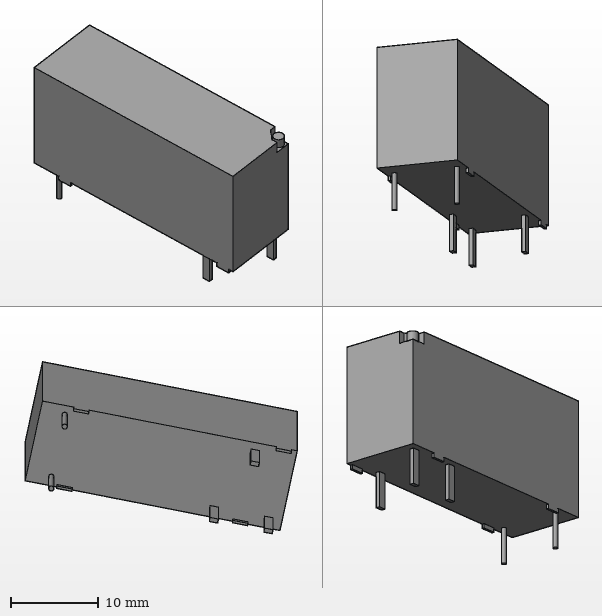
import cadquery as cq

length = 29.8
width = 9.83
total_height = 18.7
pin_length = 4.35
housing_height = total_height - pin_length
back = width / 2

foot_length = 1.8
foot_thickness = 0.3
foot_height = 0.55
left_foot_x = 3.67
front_right_foot_x = 27.35
back_right_foot_x = 24.23

recess_size = 2.0
recess_short_side = 0.77
recess_depth = 1.5
peg_diameter = 1.35
peg_height = 1.2
peg_inset_x = 0.83
peg_inset_y = 0.75

row_y = 3.8
round_pin_diameter = 0.6
round_pin_x = 2.83
flat_pin_width = 0.98
flat_pin_thickness = 0.5
flat_pin_places = [(21.85, row_y), (25.05, -row_y), (28.22, row_y)]


def make_foot(start_x, start_y):
    """One foot reaching down from the underside."""
    return cq.Workplane("XY").box(
        foot_length, foot_thickness, foot_height, centered=False
    ).translate((start_x, start_y, -foot_height))


def make_recess():
    """Square corner cutter with its inner corner cut off diagonally."""
    inner_x = length - recess_size
    inner_y = back - recess_size
    return (
        cq.Workplane("XY", origin=(0, 0, housing_height - recess_depth))
        .moveTo(length, back)
        .lineTo(inner_x, back)
        .lineTo(inner_x, back - recess_short_side)
        .lineTo(length - recess_short_side, inner_y)
        .lineTo(length, inner_y)
        .close()
        .extrude(recess_depth)
    )


def make_peg():
    """Round vent peg on the recess floor."""
    peg_base = (length - peg_inset_x, back - peg_inset_y, housing_height - recess_depth)
    return cq.Workplane("XY", origin=peg_base).circle(peg_diameter / 2).extrude(peg_height)


def make_housing():
    """Plain block with its feet, corner recess and vent peg."""
    block = cq.Workplane("XY").box(length, width, housing_height, centered=False)
    body = block.translate((0, -back, 0)).cut(make_recess()).union(make_peg())
    for foot_x in (left_foot_x, front_right_foot_x):
        body = body.union(make_foot(foot_x, -back))
    for foot_x in (left_foot_x, back_right_foot_x):
        body = body.union(make_foot(foot_x, back - foot_thickness))
    return body


def make_round_pin(y):
    """Round pin hanging from the underside."""
    return (
        cq.Workplane("XY", origin=(round_pin_x, y, 0))
        .circle(round_pin_diameter / 2)
        .extrude(-pin_length)
    )


def make_flat_pin(x, y):
    """Flat pin hanging from the underside, wide along X."""
    return (
        cq.Workplane("XY", origin=(x, y, 0))
        .rect(flat_pin_width, flat_pin_thickness)
        .extrude(-pin_length)
    )


housing = make_housing()
round_pins = [make_round_pin(y) for y in (-row_y, row_y)]
flat_pins = [make_flat_pin(x, y) for x, y in flat_pin_places]

result = cq.Compound.makeCompound([housing.val(), *[pin.val() for pin in round_pins + flat_pins]])